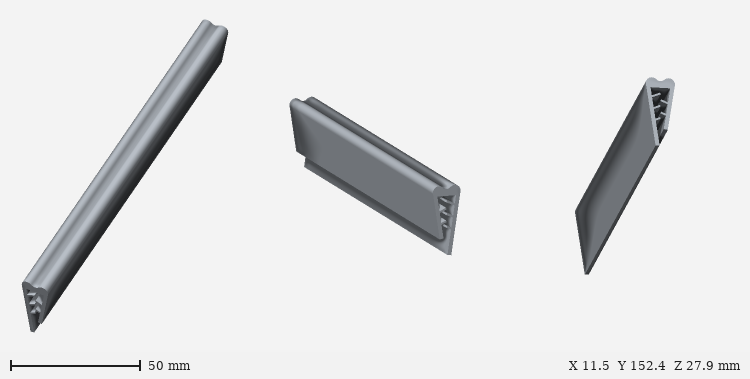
import cadquery as cq
import math

length = 152.4
width = 11.5
height = 27.9
short_leg_depth = 21.2

lobe_radius = 2.5
valley_depth = 1.4
ceiling_depth = 4.1

leg_thickness = 1.6
leg_tilt = math.radians(8.6)

fin_thickness = 0.8
fin_tilt = math.radians(23)
fin_pitch = 5.0
left_fin_tip_depth = 6.4
right_fin_tip_depth = 9.1
left_fin_tip_x = 0.0
right_fin_tip_x = 0.2
left_fin_count = 3
right_fin_count = 2

LEFT = -1
RIGHT = 1

lobe_x = width / 2 - lobe_radius
lobe_drop = lobe_radius - valley_depth
valley_radius = (lobe_x**2 + lobe_drop**2 - lobe_radius**2) / (2 * (lobe_radius - lobe_drop))
valley_center_z = valley_radius - valley_depth
blend_share = valley_radius / (valley_radius + lobe_radius)
blend_x = lobe_x * blend_share
blend_z = valley_center_z - (lobe_radius + valley_center_z) * blend_share

tangent_x = lobe_x + lobe_radius * math.cos(leg_tilt)
tangent_z = -lobe_radius - lobe_radius * math.sin(leg_tilt)


def outer_face_x(z):
    """Distance of the outer leg face from the middle at height z."""
    return tangent_x - (tangent_z - z) * math.tan(leg_tilt)


def inner_face_x(z):
    """Distance of the inner leg face from the middle at height z."""
    return outer_face_x(z) - leg_thickness / math.cos(leg_tilt)


def extrude_profile(outline):
    return outline.close().extrude(length / 2, both=True)


def make_head():
    base_x = outer_face_x(-ceiling_depth)
    outline = (
        cq.Workplane("XZ")
        .moveTo(-base_x, -ceiling_depth)
        .lineTo(-tangent_x, tangent_z)
        .threePointArc((-lobe_x, 0), (-blend_x, blend_z))
        .threePointArc((0, -valley_depth), (blend_x, blend_z))
        .threePointArc((lobe_x, 0), (tangent_x, tangent_z))
        .lineTo(base_x, -ceiling_depth)
    )
    return extrude_profile(outline)


def make_leg(side, depth):
    """Inward-leaning leg with a square-cut end, overlapping the head."""
    inner_end_x = outer_face_x(-depth) - leg_thickness * math.cos(leg_tilt)
    inner_end_z = -depth + leg_thickness * math.sin(leg_tilt)
    points = [
        (side * tangent_x, tangent_z),
        (side * outer_face_x(-depth), -depth),
        (side * inner_end_x, inner_end_z),
        (side * inner_face_x(tangent_z), tangent_z),
    ]
    return extrude_profile(cq.Workplane("XZ").polyline(points))


def make_fin(side, tip_x, tip_depth):
    """Gripping fin rising from a leg to a square tip near the middle line."""
    half_x = fin_thickness / 2 * math.sin(fin_tilt)
    half_z = fin_thickness / 2 * math.cos(fin_tilt)
    wall_x = inner_face_x(-tip_depth) + leg_thickness / (2 * math.cos(leg_tilt))
    tilt_product = math.tan(leg_tilt) * math.tan(fin_tilt)
    root_x = (wall_x + tip_x * tilt_product) / (1 + tilt_product)
    root_z = -tip_depth - (root_x - tip_x) * math.tan(fin_tilt)
    points = [
        (side * (tip_x + half_x), -tip_depth + half_z),
        (side * (tip_x - half_x), -tip_depth - half_z),
        (side * (root_x - half_x), root_z - half_z),
        (side * (root_x + half_x), root_z + half_z),
    ]
    return extrude_profile(cq.Workplane("XZ").polyline(points))


result = make_head()
result = result.union(make_leg(LEFT, height))
result = result.union(make_leg(RIGHT, short_leg_depth))

for i in range(left_fin_count):
    result = result.union(make_fin(LEFT, left_fin_tip_x, left_fin_tip_depth + i * fin_pitch))
for i in range(right_fin_count):
    result = result.union(make_fin(RIGHT, right_fin_tip_x, right_fin_tip_depth + i * fin_pitch))